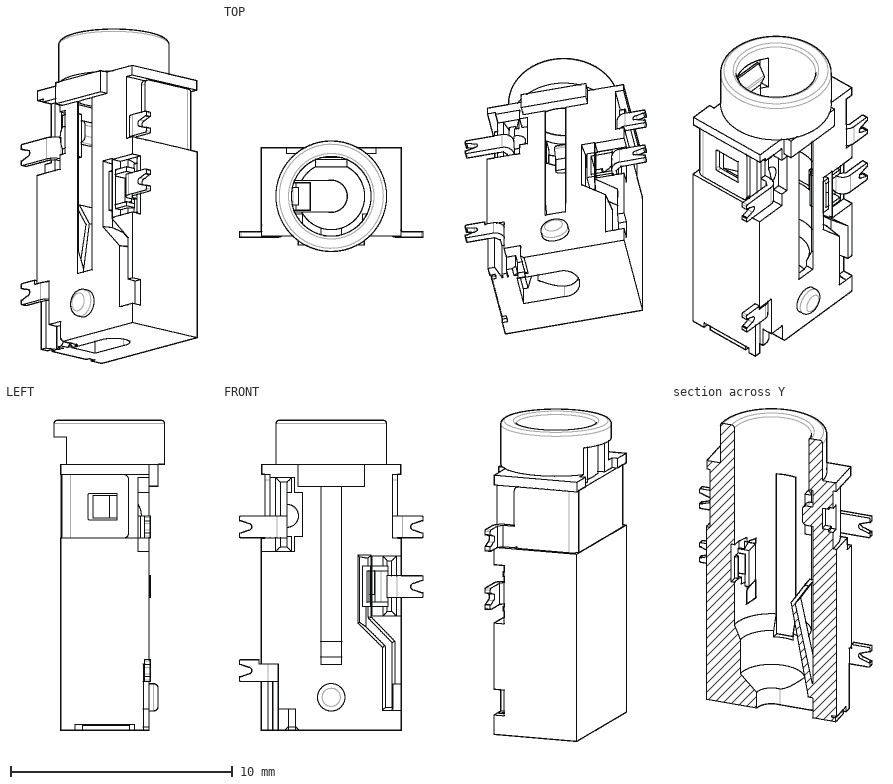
import cadquery as cq
import math


total_height = 14.0
collar_base_z = 12.0
collar_radius = 2.5
collar_edge_round = 0.15

half_width = 3.17
back_y = 2.2
front_y = -1.8
shoulder_z = 8.67
flange_half_width = 3.14
flange_base_z = 11.55

shield_half_width = 3.0
shield_thickness = 0.23
shield_front_y = -0.88
shield_back_y = 2.17
shield_bend_radius = 0.41
shield_corner_radius = 0.25
neck_half_width = shield_half_width - shield_thickness

bore_radius = 1.8
mouth_round = 0.13
bore_tip_radius = 1.51
bore_exit_radius = 0.72
taper_top_z = 4.0
taper_bottom_z = 3.3
tip_cone_top_z = 1.6
tip_cone_bottom_z = 0.8

terminal_reach = 4.15
terminal_back_y = -1.6
terminal_front_y = -1.86
terminal_height = 0.99
bend_radius = 0.45
pocket_floor_y = -1.3
slot_floor_y = -0.9
funnel_inset = 0.21


def box(x0, x1, y0, y1, z0, z1):
    """Axis-aligned box between two opposite corners."""
    return cq.Workplane("XY").box(x1 - x0, y1 - y0, z1 - z0, centered=False).translate((x0, y0, z0))


def from_front(outline, y0, y1):
    """Prism whose closed XZ outline is extruded from y0 (front) to y1 (back)."""
    return cq.Workplane("XZ").polyline(outline).close().extrude(y0 - y1).translate((0, y0, 0))


def funnel(x0, x1, z0, z1):
    """Slot tapering on all four sides from the pocket floor at the front to the slot floor."""
    depth = slot_floor_y - pocket_floor_y
    taper = math.degrees(math.atan(funnel_inset / depth))
    return (
        cq.Workplane("XZ", origin=((x0 + x1) / 2, pocket_floor_y, (z0 + z1) / 2))
        .rect(x1 - x0, z1 - z0)
        .extrude(-depth, taper=taper)
    )


def make_housing():
    housing = box(-half_width, half_width, front_y, back_y, 0, shoulder_z)
    housing = housing.union(
        box(-neck_half_width, neck_half_width, front_y, shield_back_y, shoulder_z, flange_base_z)
    )
    housing = housing.union(
        box(-flange_half_width, flange_half_width, front_y, back_y, flange_base_z, collar_base_z)
    )
    collar = (
        cq.Workplane("XY", origin=(0, 0, collar_base_z))
        .circle(collar_radius)
        .extrude(total_height - collar_base_z)
        .faces(">Z")
        .edges()
        .fillet(collar_edge_round)
    )
    return housing.union(collar)


def make_shield():
    """Sheet cover on the neck, wrapped round the two back corners."""
    shield = box(
        -shield_half_width, shield_half_width, shield_front_y, shield_back_y, shoulder_z, flange_base_z
    )
    shield = shield.edges("|Z and >Y").fillet(shield_bend_radius)
    return shield.edges("|X and <Y").fillet(shield_corner_radius)


pad_half_width = 1.49
pad_base_z = 11.01
stud_front_y = -2.21


def make_pad():
    return box(-pad_half_width, pad_half_width, stud_front_y, front_y, pad_base_z, collar_base_z)


peg_z = 1.49
peg_radius = 0.62
peg_round = 0.21


def make_peg():
    peg = cq.Workplane("XZ", origin=(0, front_y, peg_z)).circle(peg_radius).extrude(front_y - stud_front_y)
    return peg.faces("<Y").edges().fillet(peg_round)


def make_bore():
    flare_radius = bore_radius + mouth_round
    flare_z = total_height - mouth_round
    arc_inset = mouth_round * (1 - math.sqrt(0.5))
    profile = (
        cq.Workplane("XZ")
        .moveTo(0, 0)
        .lineTo(bore_exit_radius, 0)
        .lineTo(bore_exit_radius, tip_cone_bottom_z)
        .lineTo(bore_tip_radius, tip_cone_top_z)
        .lineTo(bore_tip_radius, taper_bottom_z)
        .lineTo(bore_radius, taper_top_z)
        .lineTo(bore_radius, flare_z)
        .threePointArc(
            (bore_radius + arc_inset, total_height - arc_inset), (flare_radius, total_height)
        )
        .lineTo(0, total_height)
        .close()
    )
    return profile.revolve(360, (0, 0, 0), (0, 1, 0))


tip_channel_half_width = 0.71
tip_channel_x = -2.0
tip_channel_top_z = 11.4


def make_tip_channel():
    """Channel on the -X side of the bore that houses the tip spring."""
    return box(tip_channel_x, 0, -tip_channel_half_width, tip_channel_half_width, 0, tip_channel_top_z)


ring_opening_x = 1.95
ring_opening_front_y = -0.9
ring_opening_back_y = 0.6
ring_opening_bottom_z = 6.13
ring_opening_top_z = 8.0


def make_ring_opening():
    """Opening in the +X wall of the bore for the ring contact."""
    return box(
        0, ring_opening_x, ring_opening_front_y, ring_opening_back_y,
        ring_opening_bottom_z, ring_opening_top_z,
    )


front_slot_half_width = 0.47
front_slot_base_z = 2.98


def make_front_slot():
    return box(
        -front_slot_half_width, front_slot_half_width, front_y, -bore_exit_radius,
        front_slot_base_z, pad_base_z,
    )


collar_flat_y = 1.93
collar_flat_top_z = 13.23
flange_notch_half_width = 2.03
back_window_half_width = 1.1
back_window_base_z = 11.1


def make_back_relief():
    """Flat on the back of collar and flange, with the window for the back spring."""
    notch = box(
        -flange_notch_half_width, flange_notch_half_width, collar_flat_y, collar_radius,
        flange_base_z, collar_flat_top_z,
    )
    window = box(
        -back_window_half_width, back_window_half_width, 0, collar_flat_y,
        back_window_base_z, collar_flat_top_z,
    )
    return notch.union(window)


upper_pocket_x = -1.65
upper_pocket_bottom_z = 8.07
upper_pocket_top_z = 11.41
upper_slot_left_x = -2.51
upper_slot_right_x = -1.79
upper_recess_x = -1.3
upper_recess_bottom_z = 8.74
upper_recess_top_z = 10.74


def make_upper_pocket():
    pocket = box(
        -half_width, upper_pocket_x, front_y, pocket_floor_y, upper_pocket_bottom_z, upper_pocket_top_z
    )
    slot = funnel(upper_slot_left_x, upper_slot_right_x, upper_pocket_bottom_z, upper_pocket_top_z)
    recess = box(
        upper_pocket_x, upper_recess_x, front_y, pocket_floor_y, upper_recess_bottom_z, upper_recess_top_z
    )
    return pocket.union(slot).union(recess)


ring_left_x = 1.2
ring_top_right_x = 1.8
ring_top_z = 7.91
ring_knee_z = 5.12
ring_low_left_x = 2.31
ring_low_right_x = 2.87
ring_low_knee_z = 4.02
ring_bottom_z = 0.9
ring_wall_draft = 0.13
ring_knee_drop = 0.27
ring_pocket_left_x = 1.83
ring_pocket_bottom_z = 5.16
ring_pocket_top_z = 7.86
ring_slot_left_x = 2.33
ring_slot_right_x = 2.94
ring_side_left_x = 2.75
ring_side_top_z = 2.09


def make_ring_channel():
    """Bent channel whose walls lean inwards with depth."""
    depth = slot_floor_y - front_y
    outline = [
        (ring_left_x, ring_top_z),
        (ring_top_right_x, ring_top_z),
        (ring_top_right_x, ring_knee_z),
        (ring_low_right_x, ring_low_knee_z),
        (ring_low_right_x, ring_bottom_z),
        (ring_low_left_x, ring_bottom_z),
        (ring_low_left_x, ring_low_knee_z - ring_knee_drop),
        (ring_left_x, ring_knee_z - ring_knee_drop),
    ]
    taper = math.degrees(math.atan(ring_wall_draft / depth))
    return cq.Workplane("XZ", origin=(0, front_y, 0)).polyline(outline).close().extrude(-depth, taper=taper)


def make_ring_pocket():
    channel = make_ring_channel()
    pocket = box(
        ring_pocket_left_x, half_width, front_y, pocket_floor_y, ring_pocket_bottom_z, ring_pocket_top_z
    )
    slot = funnel(ring_slot_left_x, ring_slot_right_x, ring_pocket_bottom_z, ring_pocket_top_z)
    side = box(ring_side_left_x, half_width, front_y, pocket_floor_y, ring_bottom_z, ring_side_top_z)
    return channel.union(pocket).union(slot).union(side)


lower_cut_top_z = 3.0
lower_cut_y = -1.54
lower_slot_left_x = -2.86
lower_slot_right_x = -2.37
foot_notch_right_x = -1.61
foot_notch_step_x = -1.94
foot_notch_top_z = 0.96
foot_notch_chamfer = 0.16


def make_lower_pocket():
    """Set-back corner and slot of the tip terminal, with the notch beside its foot."""
    corner = box(-half_width, lower_slot_right_x, front_y, lower_cut_y, 0, lower_cut_top_z)
    slot = (
        cq.Workplane("XY")
        .polyline([
            (lower_slot_left_x, lower_cut_y),
            (lower_slot_right_x, lower_cut_y),
            (lower_slot_right_x, slot_floor_y),
            (lower_slot_left_x + funnel_inset, slot_floor_y),
        ])
        .close()
        .extrude(lower_cut_top_z)
    )
    shallow = box(lower_slot_right_x, foot_notch_step_x, front_y, pocket_floor_y, 0, foot_notch_top_z)
    deep_outline = [
        (foot_notch_step_x, foot_notch_top_z),
        (foot_notch_right_x, foot_notch_top_z),
        (foot_notch_right_x, foot_notch_chamfer),
        (foot_notch_right_x + foot_notch_chamfer, 0),
        (foot_notch_step_x - foot_notch_chamfer, 0),
        (foot_notch_step_x, foot_notch_chamfer),
    ]
    deep = from_front(deep_outline, front_y, slot_floor_y)
    lead_in = (
        cq.Workplane("YZ", origin=(foot_notch_step_x, 0, 0))
        .polyline([
            (slot_floor_y, 0),
            (slot_floor_y + foot_notch_chamfer, 0),
            (slot_floor_y, foot_notch_chamfer),
        ])
        .close()
        .extrude(foot_notch_right_x - foot_notch_step_x)
    )
    return corner.union(slot).union(shallow).union(deep).union(lead_in)


foot_recess_depth = 0.25
foot_recess_back_y = 1.54
foot_recess_front_y = -1.15
foot_recess_height = 0.27


def make_foot_recess():
    return box(
        -half_width, foot_recess_depth - half_width, foot_recess_front_y, foot_recess_back_y,
        0, foot_recess_height,
    )


foot_tab_inset = 0.05
foot_tab_back_y = 1.21
foot_tab_front_y = -0.92
foot_tab_height = 0.22


def make_foot_tab():
    """Tab of the tip contact, almost flush in the recess at the foot."""
    return box(
        foot_tab_inset - half_width, foot_recess_depth - half_width + plate_embed,
        foot_tab_front_y, foot_tab_back_y, 0, foot_tab_height,
    )


latch_front_y = -0.35
latch_back_y = 0.97
latch_bottom_z = 9.49
latch_top_z = 10.69
latch_margin = 0.1
latch_ramp_back_y = 0.73
latch_ramp_front_y = -0.02
latch_depth = 0.3


def make_latch_window():
    """Window in the shield on the -X side, with a ramped recess behind it."""
    window = box(
        -shield_half_width, -neck_half_width, latch_front_y, latch_back_y, latch_bottom_z, latch_top_z
    )
    window = window.edges("|X and >Y").fillet(latch_margin)
    ramp_height = latch_top_z - latch_bottom_z - 2 * latch_margin
    ramp = (
        cq.Workplane("XY", origin=(0, 0, latch_bottom_z + latch_margin))
        .polyline([
            (-neck_half_width, latch_ramp_back_y),
            (latch_depth - neck_half_width, latch_ramp_front_y),
            (latch_depth - neck_half_width, latch_front_y),
            (-neck_half_width, latch_front_y),
        ])
        .close()
        .extrude(ramp_height)
    )
    return window.union(ramp)


fork_depth = 0.56
fork_mouth_half_width = 0.27
fork_root_half_width = 0.15
fork_tip_round = 0.07
plate_embed = 0.1
plate_inset = 0.2


def make_fork_notch(side, tip_x, mid_z):
    """Tapering notch with a round root that splits a solder tail into two tines."""
    root_x = tip_x - side * (fork_depth - fork_root_half_width)
    shoulder_x = tip_x - side * fork_tip_round
    return (
        cq.Workplane("XZ", origin=(0, terminal_back_y, 0))
        .moveTo(tip_x, mid_z + fork_mouth_half_width)
        .lineTo(shoulder_x, mid_z + fork_mouth_half_width)
        .lineTo(root_x, mid_z + fork_root_half_width)
        .threePointArc((tip_x - side * fork_depth, mid_z), (root_x, mid_z - fork_root_half_width))
        .lineTo(shoulder_x, mid_z - fork_mouth_half_width)
        .lineTo(tip_x, mid_z - fork_mouth_half_width)
        .close()
        .extrude(terminal_back_y - terminal_front_y)
    )


def make_terminal(side, inner_x, thickness, bottom_z, plate_bottom_z, plate_top_z):
    """Forked solder tail bent back into an upright plate.

    side is +1 or -1 along X; inner_x is the face of the plate nearest the bore.
    """
    tip_x = side * terminal_reach
    plate_x = inner_x + side * thickness
    bend_x = inner_x + side * bend_radius
    bend_y = terminal_front_y + bend_radius
    inner_bend = bend_y - terminal_back_y
    plate_end_y = slot_floor_y + plate_embed
    arc_x = bend_x - side * bend_radius * math.sqrt(0.5)
    arc_y = bend_y - bend_radius * math.sqrt(0.5)
    tail = (
        cq.Workplane("XY", origin=(0, 0, bottom_z))
        .moveTo(tip_x, terminal_back_y)
        .lineTo(tip_x, terminal_front_y)
        .lineTo(bend_x, terminal_front_y)
        .threePointArc((arc_x, arc_y), (inner_x, bend_y))
        .lineTo(inner_x, plate_end_y)
        .lineTo(plate_x, plate_end_y)
        .lineTo(plate_x, terminal_back_y + inner_bend)
        .lineTo(bend_x, terminal_back_y)
        .close()
        .extrude(terminal_height)
    )
    tail = tail.edges("|Y and " + (">X" if side > 0 else "<X")).fillet(fork_tip_round)
    tail = tail.cut(make_fork_notch(side, tip_x, bottom_z + terminal_height / 2))
    plate = box(
        min(inner_x, plate_x), max(inner_x, plate_x), pocket_floor_y + plate_inset, plate_end_y,
        plate_bottom_z, plate_top_z,
    )
    return tail.union(plate)


upper_terminal_z = 8.69
upper_plate_x = -2.0
upper_plate_thickness = 0.29
ring_terminal_z = 5.99
ring_plate_x = 2.52
ring_plate_thickness = 0.2
tip_terminal_z = 2.2
tip_plate_x = -2.4
tip_plate_thickness = 0.22
tip_ear_x = 3.25


def make_terminals():
    upper_left = make_terminal(
        -1, upper_plate_x, upper_plate_thickness, upper_terminal_z,
        upper_pocket_bottom_z + funnel_inset, upper_pocket_top_z - funnel_inset,
    )
    upper_right = make_terminal(
        1, neck_half_width, shield_thickness,
        upper_terminal_z, upper_terminal_z, upper_terminal_z + terminal_height,
    )
    ring = make_terminal(
        1, ring_plate_x, ring_plate_thickness, ring_terminal_z,
        ring_pocket_bottom_z + funnel_inset, ring_pocket_top_z - funnel_inset,
    )
    tip = make_terminal(-1, tip_plate_x, tip_plate_thickness, tip_terminal_z, 0, lower_cut_top_z)
    tip_clearance = box(
        -tip_ear_x, lower_slot_right_x, terminal_front_y, slot_floor_y,
        lower_cut_top_z, tip_terminal_z + terminal_height,
    )
    return [upper_left, upper_right, ring, tip.cut(tip_clearance)]


dome_x = upper_plate_x
dome_z = 9.68
dome_radius = 0.52
dome_height = 0.15


def make_dome_plate():
    """Contact plate in the upper recess, carrying part of a shallow round dome."""
    plate_end_y = slot_floor_y + plate_embed
    plate = box(
        dome_x, upper_recess_x, pocket_floor_y, plate_end_y, upper_recess_bottom_z, upper_recess_top_z
    )
    ball_radius = (dome_radius**2 + dome_height**2) / (2 * dome_height)
    ball_y = pocket_floor_y - dome_height + ball_radius
    ball = cq.Workplane("XY").sphere(ball_radius).translate((dome_x, ball_y, dome_z))
    keep = box(
        dome_x, upper_recess_x, front_y, pocket_floor_y + plate_embed,
        upper_recess_bottom_z, upper_recess_top_z,
    )
    return plate.union(ball.intersect(keep))


ring_frame_left_x = 1.41
ring_frame_right_x = 2.56
ring_frame_bottom_z = 5.6
ring_frame_top_z = 7.42
ring_frame_front_y = -1.6
ring_window_left_x = 1.61
ring_window_bottom_z = 5.79
ring_window_top_z = 7.2
ring_spring_left_x = 1.8
ring_spring_bend_x = 2.25
ring_spring_bend_y = -0.75
ring_spring_deep_y = -0.5
ring_spring_sag = 0.06


def make_ring_contact():
    """Frame of the ring contact, the window through it and the spring leaf inside."""
    frame = box(
        ring_frame_left_x, ring_frame_right_x, ring_frame_front_y, slot_floor_y + plate_embed,
        ring_frame_bottom_z, ring_frame_top_z,
    )
    window = box(
        ring_window_left_x, ring_frame_right_x, ring_frame_front_y, ring_spring_deep_y - plate_embed,
        ring_window_bottom_z, ring_window_top_z,
    )
    leaf = (
        cq.Workplane("XY", origin=(0, 0, ring_window_bottom_z))
        .moveTo(ring_spring_left_x, ring_spring_deep_y)
        .lineTo(ring_spring_bend_x, ring_spring_bend_y)
        .sagittaArc((ring_frame_right_x, pocket_floor_y), ring_spring_sag)
        .lineTo(ring_frame_right_x, ring_spring_deep_y + plate_embed)
        .lineTo(ring_spring_left_x, ring_spring_deep_y + plate_embed)
        .close()
        .extrude(ring_window_top_z - ring_window_bottom_z)
    )
    return frame, window, leaf


tip_spring_back_y = 0.61
tip_spring_front_y = -0.64
tip_spring_apex_x = -0.94
tip_spring_root_z = 1.0
tip_spring_apex_z = 5.6
tip_spring_end_z = 6.6
tip_spring_thickness = 0.22
tip_spring_end_x = -1.6


def make_tip_spring():
    """Leaf spring rooted in the -X wall and bent at its apex towards the bore."""
    outline = [
        (tip_channel_x - plate_embed, tip_spring_root_z),
        (tip_channel_x + tip_spring_thickness, tip_spring_root_z),
        (tip_spring_apex_x, tip_spring_apex_z),
        (tip_spring_end_x, tip_spring_end_z),
        (tip_spring_end_x - tip_spring_thickness, tip_spring_end_z),
        (tip_spring_apex_x - tip_spring_thickness, tip_spring_apex_z),
        (tip_channel_x - plate_embed, tip_spring_root_z + tip_spring_thickness),
    ]
    return from_front(outline, tip_spring_front_y, tip_spring_back_y)


ground_bump_x = -1.48
ground_bump_half_width = 0.4
ground_bump_round = 0.25


def make_ground_bump():
    """Shield contact that reaches through the -X wall into the bore."""
    bump = box(
        tip_channel_x - plate_embed, ground_bump_x, -ground_bump_half_width, ground_bump_half_width,
        latch_bottom_z + latch_margin, latch_top_z - latch_margin,
    )
    return bump.edges("|Y and >X").fillet(ground_bump_round)


back_spring_half_width = 0.71
back_spring_front_y = 1.3
back_spring_back_y = 1.75
back_spring_thickness = 0.2
back_spring_root_z = 11.0
back_spring_nose_z = 12.45
back_spring_top_z = 13.05
back_spring_nose_round = 0.15


def make_back_spring():
    """Upright leaf in the back window with a wedge-shaped nose towards the bore."""
    leaf_front_y = back_spring_back_y - back_spring_thickness
    nose_drop = back_spring_top_z - back_spring_nose_z
    spring = (
        cq.Workplane("YZ", origin=(-back_spring_half_width, 0, 0))
        .polyline([
            (back_spring_back_y, back_spring_root_z),
            (back_spring_back_y, back_spring_top_z),
            (leaf_front_y + back_spring_thickness / 2, back_spring_top_z),
            (back_spring_front_y, back_spring_nose_z),
            (leaf_front_y, back_spring_nose_z - nose_drop),
            (leaf_front_y, back_spring_root_z),
        ])
        .close()
        .extrude(2 * back_spring_half_width)
    )
    return spring.edges("|X and <Y").fillet(back_spring_nose_round)


body = make_housing()
for cutter in [
    make_upper_pocket(),
    make_ring_pocket(),
    make_lower_pocket(),
    make_foot_recess(),
    make_back_relief(),
]:
    body = body.cut(cutter)
body = body.union(make_shield()).union(make_foot_tab()).union(make_pad()).union(make_peg())
for cutter in [
    make_bore(),
    make_tip_channel(),
    make_ring_opening(),
    make_front_slot(),
    make_latch_window(),
]:
    body = body.cut(cutter)

ring_frame, ring_window, ring_leaf = make_ring_contact()
body = body.union(ring_frame).cut(ring_window)

contacts = make_terminals() + [
    make_dome_plate(),
    ring_leaf,
    make_tip_spring(),
    make_ground_bump(),
    make_back_spring(),
]
for contact in contacts:
    body = body.union(contact)

result = body